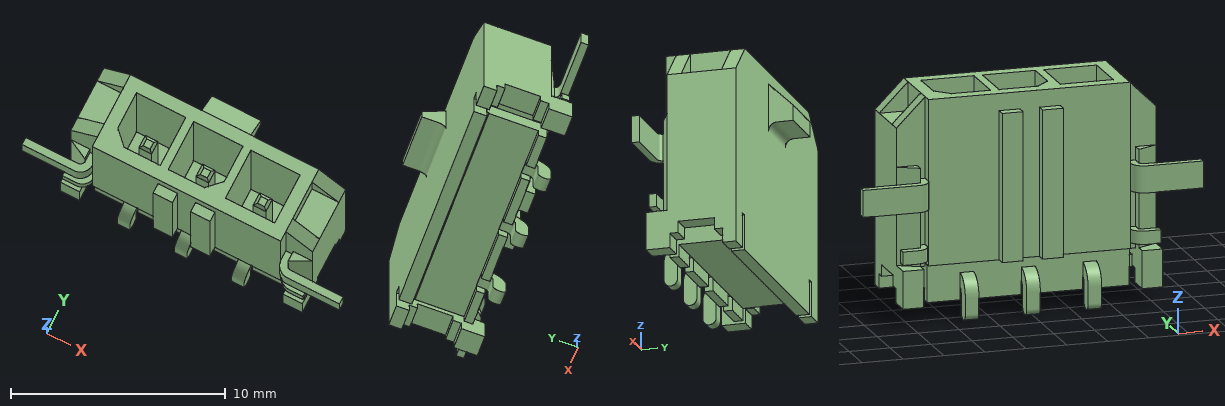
import cadquery as cq
import math


DIAGONAL = math.sqrt(0.5)

PIN_COUNT = 3
PITCH = 3.0
PIN_WIDTH = 0.67
ROW_X = [(i - (PIN_COUNT - 1) / 2) * PITCH for i in range(PIN_COUNT)]

WALL = 0.65
POCKET = 2.58
POCKET_CORNER = 0.68
CORE_WIDTH = 9.87
CORE_DEPTH = POCKET + 2 * WALL
HEIGHT = 9.9
CARRIER_TOP = 1.85
BACK_WALL_WIDTH = 9.99
ROW_Y = CORE_DEPTH / 2

HOUSING_WIDTH = 12.69
PLATE_THICKNESS = 1.02
BLOCK_FRONT = 0.52
WEB_BOTTOM = 1.7
SHOULDER_RAIL = 0.7
WEDGE_TOP = 6.61
FOOT_FRONT = -0.53
NOTCH_HEIGHT = 0.7
NOTCH_SLOT_WIDTH = 1.76
NOTCH_SLOT_HEIGHT = 1.25
HALF_CORE = CORE_WIDTH / 2
HALF_HOUSING = HOUSING_WIDTH / 2
PLATE_INNER = HALF_HOUSING - PLATE_THICKNESS
SHOULDER_Z = HEIGHT - (HALF_HOUSING - HALF_CORE)

RIB_WIDTH = 1.02
RIB_OFFSET = 0.98
RIB_DEPTH = 0.5
RIB_TOP = 9.07
LATCH_WIDTH = POCKET
LATCH_REACH = 1.2
LATCH_TOP = 9.3
LATCH_BOTTOM = 7.41
LATCH_TIP_HEIGHT = 0.75
LATCH_FILLET = 0.4

MOUNT_FRONT = -0.6
TAB_THICKNESS = PLATE_INNER - HALF_CORE
TAB_BEND = 0.65
TAB_SPAN = 16.65
LONG_ARM_Z = (4.65, 5.96)
SHORT_ARM_Z = (2.1, 2.75)
SHORT_ARM_END = 6.31
SHORT_ARM_FRONT = -0.4

CARRIER_FRONT = 0.22
CARRIER_BACK = CORE_DEPTH - WALL
CARRIER_STEP = 3.1
CARRIER_FLOOR = 0.6
TAIL_TOP = 1.35
TAIL_BEND = 1.0
TAIL_TIP = -0.83
TAIL_TIP_RADIUS = 0.32
PIN_TIP_Z = 6.83
PIN_TIP_CHAMFER = 0.15


def block(x_range, y_range, z_range):
    """Box that fills the given ranges along the three axes."""
    size = [high - low for low, high in (x_range, y_range, z_range)]
    return cq.Workplane("XY").box(*size, centered=False).translate((x_range[0], y_range[0], z_range[0]))


def plan_prism(points, z_range):
    """Upright prism with the given outline in X and Y."""
    return cq.Workplane("XY").workplane(offset=z_range[0]).polyline(points).close().extrude(z_range[1] - z_range[0])


def side_plane(x):
    """Workplane whose local axes are Y and Z, at the given x."""
    return cq.Workplane("YZ", origin=(x, 0, 0))


def pocket(x, cut_side):
    """Contact pocket; cut_side is -1 or 1 for the blunted front corner, 0 for a plain square."""
    low, high = WALL, WALL + POCKET
    cutter = block((x - POCKET / 2, x + POCKET / 2), (low, high), (CARRIER_TOP, HEIGHT))
    if cut_side == 0:
        return cutter
    corner_x = x + cut_side * POCKET / 2
    corner = [(corner_x, low), (corner_x - cut_side * POCKET_CORNER, low), (corner_x, low + POCKET_CORNER)]
    return cutter.cut(plan_prism(corner, (CARRIER_TOP, HEIGHT)))


def carrier_base():
    """Base of the pin carrier: a floor slab with a skirt along its front and a step along its back."""
    outline = [
        (CARRIER_FRONT, 0),
        (WALL, 0),
        (WALL, CARRIER_FLOOR),
        (CARRIER_STEP, CARRIER_FLOOR),
        (CARRIER_STEP, NOTCH_HEIGHT),
        (CARRIER_BACK, NOTCH_HEIGHT),
        (CARRIER_BACK, CARRIER_TOP),
        (CARRIER_FRONT, CARRIER_TOP),
    ]
    return side_plane(-HALF_CORE).polyline(outline).close().extrude(CORE_WIDTH)


def core():
    """Shell around the pockets, with a back wall that reaches down to the underside."""
    body = block((-HALF_CORE, HALF_CORE), (0, CORE_DEPTH), (CARRIER_TOP, HEIGHT))
    back_y = (CARRIER_BACK, CORE_DEPTH)
    half_back = BACK_WALL_WIDTH / 2
    body = body.union(block((-half_back, half_back), back_y, (0, CARRIER_TOP)))
    for x, cut_side in zip(ROW_X, (-1, 1, 0)):
        body = body.cut(pocket(x, cut_side))
    return body


def side_block():
    """Right-hand side block: web, plate with foot, sloped recessed shoulder, wedge and bottom notch."""
    outline = [
        (HALF_CORE, WEB_BOTTOM),
        (PLATE_INNER, WEB_BOTTOM),
        (PLATE_INNER, 0),
        (HALF_HOUSING, 0),
        (HALF_HOUSING, SHOULDER_Z),
        (HALF_CORE, HEIGHT),
    ]
    front = cq.Workplane("XZ", origin=(0, BLOCK_FRONT, 0))
    body = front.polyline(outline).close().extrude(BLOCK_FRONT - CORE_DEPTH)
    plate_x = (PLATE_INNER, HALF_HOUSING)
    body = body.union(block(plate_x, (FOOT_FRONT, BLOCK_FRONT), (0, CARRIER_TOP)))

    wedge = [(HALF_HOUSING, BLOCK_FRONT), (PLATE_INNER, BLOCK_FRONT), (PLATE_INNER, 0)]
    body = body.union(plan_prism(wedge, (CARRIER_TOP, WEDGE_TOP)))

    recess_y = (BLOCK_FRONT + SHOULDER_RAIL, CORE_DEPTH - SHOULDER_RAIL)
    body = body.cut(block((HALF_CORE, HALF_HOUSING), recess_y, (SHOULDER_Z, HEIGHT)))
    body = body.cut(block(plate_x, (WALL, WALL + POCKET), (0, NOTCH_HEIGHT)))
    slot_y = (ROW_Y - NOTCH_SLOT_WIDTH / 2, ROW_Y + NOTCH_SLOT_WIDTH / 2)
    return body.cut(block(plate_x, slot_y, (0, NOTCH_SLOT_HEIGHT)))


def tab_arm(end_x, front_y, z_range):
    """Right-hand tab arm: leaves the web forwards, then bends outwards to end_x."""
    center_x, center_y = HALF_CORE + TAB_BEND, front_y + TAB_BEND
    inner_bend = TAB_BEND - TAB_THICKNESS
    back_y = front_y + TAB_THICKNESS
    outline = (
        cq.Workplane("XY")
        .workplane(offset=z_range[0])
        .moveTo(HALF_CORE, BLOCK_FRONT)
        .lineTo(HALF_CORE, center_y)
        .threePointArc((center_x - TAB_BEND * DIAGONAL, center_y - TAB_BEND * DIAGONAL), (center_x, front_y))
        .lineTo(end_x, front_y)
        .lineTo(end_x, back_y)
        .lineTo(center_x, back_y)
        .threePointArc(
            (center_x - inner_bend * DIAGONAL, center_y - inner_bend * DIAGONAL), (PLATE_INNER, center_y)
        )
        .lineTo(PLATE_INNER, BLOCK_FRONT)
        .close()
    )
    return outline.extrude(z_range[1] - z_range[0])


def latch():
    """Locking ramp on the back face, with a concave fillet beneath it."""
    tip_y = CORE_DEPTH + LATCH_REACH
    fillet_low = LATCH_BOTTOM - LATCH_FILLET
    bulge = LATCH_FILLET * (1 - DIAGONAL)
    outline = (
        side_plane(-LATCH_WIDTH / 2)
        .moveTo(CORE_DEPTH, LATCH_TOP)
        .lineTo(tip_y, LATCH_BOTTOM + LATCH_TIP_HEIGHT)
        .lineTo(tip_y, LATCH_BOTTOM)
        .lineTo(CORE_DEPTH + LATCH_FILLET, LATCH_BOTTOM)
        .threePointArc((CORE_DEPTH + bulge, LATCH_BOTTOM - bulge), (CORE_DEPTH, fillet_low))
        .close()
    )
    return outline.extrude(LATCH_WIDTH)


def make_housing():
    """Housing body, complete with its ribs, latch and solder tabs."""
    right_side = (
        side_block()
        .union(tab_arm(TAB_SPAN / 2, MOUNT_FRONT, LONG_ARM_Z))
        .union(tab_arm(SHORT_ARM_END, SHORT_ARM_FRONT, SHORT_ARM_Z))
    )
    body = core().union(right_side).union(right_side.mirror("YZ")).union(latch())
    for x in (-RIB_OFFSET, RIB_OFFSET):
        rib_x = (x - RIB_WIDTH / 2, x + RIB_WIDTH / 2)
        body = body.union(block(rib_x, (-RIB_DEPTH, 0), (CARRIER_TOP, RIB_TOP)))
    return body


def contact_pin(x):
    """Square upright pin with a chamfered tip, standing on the carrier."""
    half = PIN_WIDTH / 2
    pin = block((x - half, x + half), (ROW_Y - half, ROW_Y + half), (CARRIER_TOP, PIN_TIP_Z))
    return pin.faces(">Z").chamfer(PIN_TIP_CHAMFER)


def pin_tail(x):
    """Tail that curves forwards out of the carrier and down to a rounded tip."""
    center_y, center_z = MOUNT_FRONT + TAIL_BEND, TAIL_TOP - TAIL_BEND
    inner_bend = TAIL_BEND - PIN_WIDTH
    back_y = MOUNT_FRONT + PIN_WIDTH
    outline = (
        side_plane(x - PIN_WIDTH / 2)
        .moveTo(center_y, TAIL_TOP)
        .threePointArc(
            (center_y - TAIL_BEND * DIAGONAL, center_z + TAIL_BEND * DIAGONAL), (MOUNT_FRONT, center_z)
        )
        .lineTo(MOUNT_FRONT, TAIL_TIP)
        .lineTo(back_y, TAIL_TIP)
        .lineTo(back_y, center_z)
        .threePointArc(
            (center_y - inner_bend * DIAGONAL, center_z + inner_bend * DIAGONAL),
            (center_y, center_z + inner_bend),
        )
        .close()
    )
    return outline.extrude(PIN_WIDTH).faces("<Z").edges("|X").fillet(TAIL_TIP_RADIUS)


def make_pin_carrier():
    """Carrier body: base with all contact pins and tails, and a slot in its skirt behind each tail."""
    body = carrier_base()
    for x in ROW_X:
        slot_x = (x - PIN_WIDTH / 2, x + PIN_WIDTH / 2)
        body = body.cut(block(slot_x, (CARRIER_FRONT, WALL), (0, TAIL_TOP - PIN_WIDTH)))
        body = body.union(contact_pin(x)).union(pin_tail(x))
    return body


housing = make_housing()
pin_carrier = make_pin_carrier()

result = cq.Compound.makeCompound([housing.val(), pin_carrier.val()])